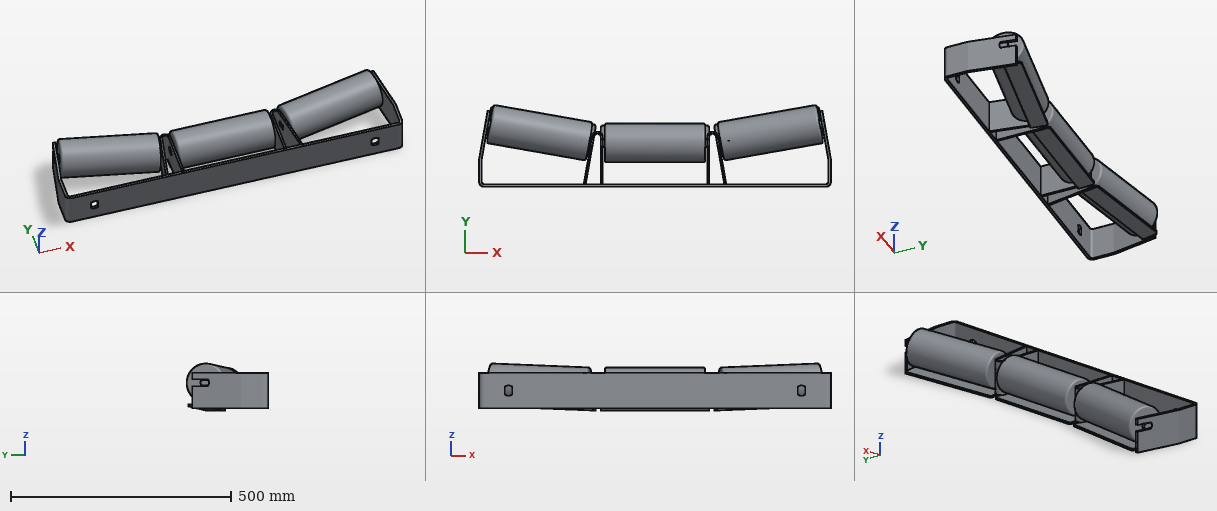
import cadquery as cq
import math

frame_length = 800.0
frame_height = 81.0
frame_thickness = 6.0
frame_corner_radius = 12.0
side_bend_y = 62.0
side_end_y = 174.0
mount_hole_x = 333.0
mount_hole_height = 24.0
mount_hole_width = 17.0

roller_diameter = 89.0
roller_length = 228.0
roller_edge_radius = 5.0
axle_diameter = 20.0
axle_flat_width = 13.0
axle_slot_width = 16.0
axle_height = 49.0
support_span = 238.0
toe_angle = 10.0
rise_angle = 2.3
middle_y = 100.0
outer_y = 123.0

bracket_thickness = 5.0
bracket_back_y = 126.0

plate_thickness = 5.0
plate_front = -2.0
plate_back = 40.0
plate_chamfer = 4.0

toe_tan = math.tan(math.radians(toe_angle))
toe_cos = math.cos(math.radians(toe_angle))
rise_sin = math.sin(math.radians(rise_angle))
rise_tan = math.tan(math.radians(rise_angle))
half_length = frame_length / 2
support_gap = support_span / 2
axle_half_length = support_gap + bracket_thickness
outer_x = half_length + (side_bend_y - outer_y) * toe_tan - (support_gap + frame_thickness) / toe_cos
outer_rise = support_gap * rise_sin
LEFT, MIDDLE, RIGHT = -1, 0, 1


def place(body, station, height):
    """Move a body built around a roller's middle, axis along X, to its station."""
    station_y = middle_y if station == MIDDLE else outer_y
    return (
        body.rotate((0, 0, 0), (0, 1, 0), -station * rise_angle)
        .rotate((0, 0, 0), (0, 0, 1), station * toe_angle)
        .translate((station * outer_x, station_y, height + abs(station) * outer_rise))
    )


def double_d(plane, diameter, width, length):
    """A bar centred on the origin: a circle cut by two flats, 'width' apart along the plane's Y."""
    start = cq.Workplane(plane).workplane(offset=-length / 2)
    bar = start.circle(diameter / 2).extrude(length)
    flats = start.rect(diameter, width).extrude(length)
    return bar.intersect(flats)


def make_axle():
    """Flatted bar that ends flush with the far faces of the bracket legs."""
    return double_d("YZ", axle_diameter, axle_flat_width, 2 * axle_half_length)


def make_roller(station):
    """Rounded drum in one piece with its axle."""
    end_face = cq.Workplane("YZ").workplane(offset=-roller_length / 2)
    shell = end_face.circle(roller_diameter / 2).extrude(roller_length)
    shell = shell.faces("<X or >X").edges().fillet(roller_edge_radius)
    return place(shell.union(make_axle()), station, axle_height)


def make_axle_slot(station):
    """Cutter for an axle seat that runs out through the back end of a side wall."""
    slot_length = 2 * (support_gap + 2 * frame_thickness)
    seat = double_d("YZ", axle_diameter, axle_slot_width, slot_length)
    run_out = cq.Workplane("XY").box(slot_length, side_end_y, axle_slot_width, centered=(True, False, True))
    return place(seat.union(run_out), station, axle_height)


def frame_block(inset):
    """The area bounded by the frame's outer face moved inward by 'inset'."""
    bend_x = half_length - inset
    bend_y = side_bend_y - inset * math.tan(math.radians(toe_angle / 2))
    end_x = bend_x - (side_end_y - bend_y) * toe_tan
    outline = [
        (-bend_x, inset),
        (bend_x, inset),
        (bend_x, bend_y),
        (end_x, side_end_y),
        (-end_x, side_end_y),
        (-bend_x, bend_y),
    ]
    block = cq.Workplane("XY").polyline(outline).close().extrude(frame_height)
    return block.edges("|Z and <Y").fillet(frame_corner_radius - inset)


def make_frame():
    """Bent strip with two mounting holes and an open axle slot in each side wall."""
    frame = frame_block(0).cut(frame_block(frame_thickness))
    for side in (LEFT, RIGHT):
        hole = double_d("XZ", mount_hole_height, mount_hole_width, 2 * frame_thickness)
        hole = hole.rotate((0, 0, 0), (0, 1, 0), 90)
        frame = frame.cut(hole.translate((side * mount_hole_x, 0, frame_height / 2)))
        frame = frame.cut(make_axle_slot(side))
    return frame


def bracket_block(inset):
    """Right-hand wedge between a square leg and a toed leg, closed by a round back.

    Its sides are the bracket's outer faces moved inward by 'inset'.
    """
    foot_y = frame_thickness
    square_x = support_gap + inset
    toed_foot_x = outer_x - (support_gap + inset) / toe_cos + (outer_y - foot_y) * toe_tan
    apex_y = foot_y + (toed_foot_x - square_x) / toe_tan
    back_y = bracket_back_y - inset
    back_width = (apex_y - back_y) * toe_tan
    back_radius = back_width / (1 + 1 / toe_cos - toe_tan)
    centre = (square_x + back_radius, back_y - back_radius)
    toed_touch = (centre[0] + back_radius * toe_cos, centre[1] + back_radius * toe_cos * toe_tan)
    return (
        cq.Workplane("XY")
        .moveTo(square_x, foot_y)
        .lineTo(square_x, centre[1])
        .threePointArc((centre[0], back_y), toed_touch)
        .lineTo(toed_foot_x, foot_y)
        .close()
        .extrude(frame_height)
    )


def make_bracket(side):
    """Hairpin strip whose legs carry the axles of the middle roller and one outer roller."""
    bracket = bracket_block(0).cut(bracket_block(bracket_thickness))
    if side == LEFT:
        bracket = bracket.mirror("YZ")
    for station in (MIDDLE, side):
        bracket = bracket.cut(place(make_axle(), station, axle_height))
    return bracket


def make_plate(station):
    """Plate reaching under the brackets, or up to a side wall at an outer end."""
    wall_reach = support_gap - plate_thickness * rise_tan
    left_reach = wall_reach if station == LEFT else axle_half_length
    right_reach = wall_reach if station == RIGHT else axle_half_length
    plate = (
        cq.Workplane("XY")
        .box(left_reach + right_reach, plate_back - plate_front, plate_thickness, centered=False)
        .edges("|Z and >Y")
        .chamfer(plate_chamfer)
        .translate((-left_reach, plate_front, -plate_thickness))
    )
    return place(plate, station, 0)


stations = (LEFT, MIDDLE, RIGHT)
frame = make_frame()
brackets = [make_bracket(side) for side in (LEFT, RIGHT)]
rollers = [make_roller(station) for station in stations]
plates = [make_plate(station) for station in stations]

result = cq.Compound.makeCompound(
    [frame.val()]
    + [bracket.val() for bracket in brackets]
    + [roller.val() for roller in rollers]
    + [plate.val() for plate in plates]
)